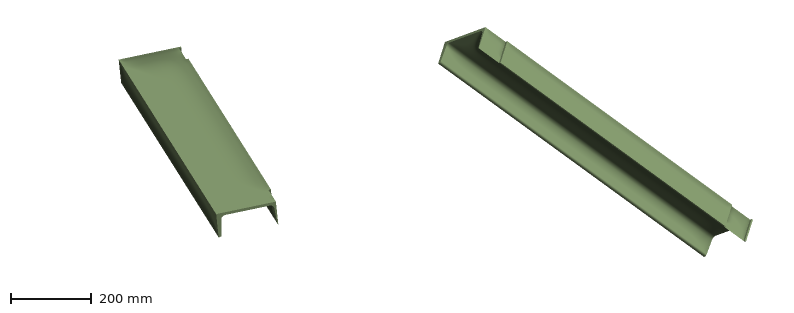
import cadquery as cq
import math

overall_span = 890.0
incline = 20.0
width = 160.0
height = 65.0
web_thickness = 7.5
flange_thickness = 11.0
flange_slope = 0.08
root_radius = 11.0
toe_radius = 5.5

relief_depth = 6.0
lower_shoulder = 72.0
upper_shoulder = 70.0
end_lip = 4.0

angle = math.radians(incline)
length = (overall_span - height * math.sin(angle)) / math.cos(angle)


def make_channel():
    """Tapered-flange channel along X, web on top, with its top face at Z = 0."""
    half_width = width / 2
    taper = flange_slope * height / 2
    toe_y = half_width - flange_thickness + taper
    web_drop = height / 2 - web_thickness
    root_y = half_width - flange_thickness - flange_slope * web_drop
    outline = [
        (-half_width, 0),
        (half_width, 0),
        (half_width, -height),
        (toe_y, -height),
        (root_y, -web_thickness),
        (-root_y, -web_thickness),
        (-toe_y, -height),
        (-half_width, -height),
    ]
    channel = cq.Workplane("YZ").polyline(outline).close().extrude(length)
    for y, z, radius in ((root_y, -web_thickness, root_radius), (toe_y, -height, toe_radius)):
        for side in (-1, 1):
            corner = cq.selectors.NearestToPointSelector((length / 2, side * y, z))
            channel = channel.edges("|X").edges(corner).fillet(radius)
    return channel


def make_relief(start, end):
    """Full-height cutter for the outer face of the +Y flange."""
    return cq.Workplane("XY").box(end - start, relief_depth, height, centered=False).translate(
        (start, width / 2 - relief_depth, -height)
    )


beam = make_channel()
beam = beam.cut(make_relief(end_lip, lower_shoulder))
beam = beam.cut(make_relief(length - upper_shoulder, length))

result = beam.rotate((0, 0, 0), (0, 1, 0), -incline)